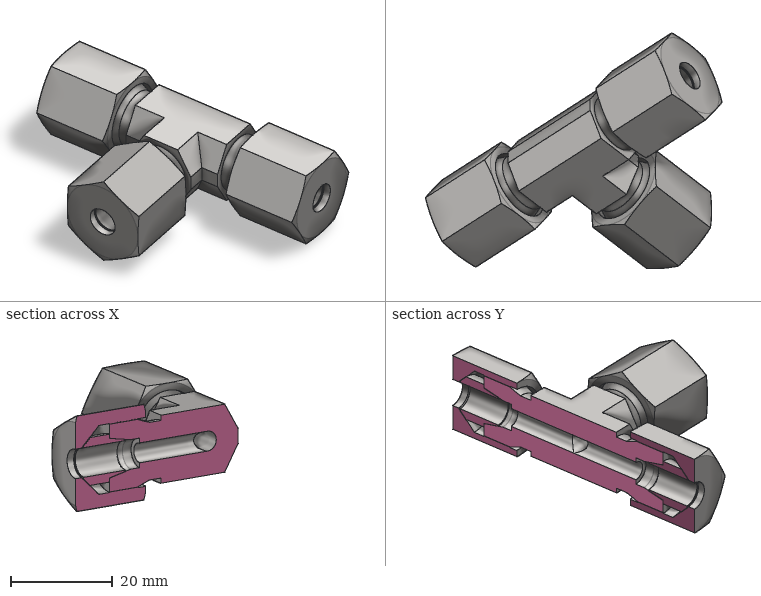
import cadquery as cq
import math


port_reach = 31.0
run_angles = (0, 180)
branch_angle = -90

block_reach = 11.0
block_flats = 14.0
block_half_width = 7.2
neck_radius = 5.95
neck_length = 2.6
spigot_radius = 7.0
spigot_reach = 23.0
spigot_chamfer_angle = 20
flow_radius = 2.0
tube_radius = 3.0
socket_floor = 16.0
seat_mouth_radius = 4.0
seat_half_angle = 12

nut_length = 16.5
nut_flats = 17.0
nut_chamfer_angle = 15
nut_hole_radius = tube_radius
nut_hole_length = 1.55

ring_collar_radius = 4.95
ring_setback = 0.4
ring_nose_length = 3.7

neck_end = block_reach + neck_length
spigot_chamfer_end = neck_end + (spigot_radius - neck_radius) / math.tan(math.radians(spigot_chamfer_angle))
seat_slope = math.tan(math.radians(seat_half_angle))
seat_end = spigot_reach - (seat_mouth_radius - tube_radius) / seat_slope
nut_start = port_reach - nut_length
nut_cone_end = port_reach - nut_hole_length
nut_cone_start = nut_cone_end - (spigot_radius - nut_hole_radius)
ring_end = nut_cone_end - ring_setback
ring_end_radius = nut_hole_radius + ring_setback
ring_cone_start = ring_end - (ring_collar_radius - ring_end_radius)
ring_nose = spigot_reach - ring_nose_length
ring_nose_radius = seat_mouth_radius - ring_nose_length * seat_slope


def revolve_about_x(points):
    """Revolve a closed (distance along X, radius) outline about the X axis."""
    outline = cq.Workplane("XY").polyline(points).close()
    return outline.revolve(360, (0, 0, 0), (1, 0, 0))


def hexagon_bar(flats, start, length):
    """Hexagonal bar along X with corners towards +Y and -Y."""
    corner_diameter = flats / math.cos(math.pi / 6)
    return cq.Workplane("YZ", origin=(start, 0, 0)).polygon(6, corner_diameter).extrude(length)


def turn_to_port(part, angle):
    return part.rotate((0, 0, 0), (0, 0, 1), angle)


def make_block_bar(start, length):
    """Hexagonal bar of the tee with its two side corners cut off flat."""
    bar = hexagon_bar(block_flats, start, length)
    side_limit = cq.Workplane("XY").box(4 * block_reach, 2 * block_half_width, 2 * block_flats)
    return bar.intersect(side_limit)


def make_spigot():
    """Neck and spigot, running from the tee centre to the end of the port."""
    return revolve_about_x([
        (0, 0),
        (0, neck_radius),
        (neck_end, neck_radius),
        (spigot_chamfer_end, spigot_radius),
        (spigot_reach, spigot_radius),
        (spigot_reach, 0),
    ])


def make_port_bore():
    """Flow passage, tube socket and conical seat."""
    return revolve_about_x([
        (0, 0),
        (0, flow_radius),
        (socket_floor, flow_radius),
        (socket_floor, tube_radius),
        (seat_end, tube_radius),
        (spigot_reach, seat_mouth_radius),
        (spigot_reach, 0),
    ])


def make_tee():
    run_bar = make_block_bar(-block_reach, 2 * block_reach)
    branch_bar = turn_to_port(make_block_bar(0, block_reach), branch_angle)
    tee = run_bar.union(branch_bar)
    for angle in (*run_angles, branch_angle):
        tee = tee.union(turn_to_port(make_spigot(), angle))
    for angle in (*run_angles, branch_angle):
        tee = tee.cut(turn_to_port(make_port_bore(), angle))
    return tee


def make_nut(roll):
    """Union nut, rolled about its own axis; both ends are chamfered down to the flats."""
    hexagon = hexagon_bar(nut_flats, nut_start, nut_length)
    flat_radius = nut_flats / 2
    envelope_radius = nut_flats
    chamfer_run = (envelope_radius - flat_radius) * math.tan(math.radians(nut_chamfer_angle))
    chamfer_envelope = revolve_about_x([
        (nut_start, 0),
        (nut_start, flat_radius),
        (nut_start + chamfer_run, envelope_radius),
        (port_reach - chamfer_run, envelope_radius),
        (port_reach, flat_radius),
        (port_reach, 0),
    ])
    cavity = revolve_about_x([
        (nut_start, 0),
        (nut_start, spigot_radius),
        (nut_cone_start, spigot_radius),
        (nut_cone_end, nut_hole_radius),
        (port_reach, nut_hole_radius),
        (port_reach, 0),
    ])
    nut = hexagon.intersect(chamfer_envelope).cut(cavity)
    return nut.rotate((0, 0, 0), (1, 0, 0), roll)


def make_cutting_ring():
    """Ring between the spigot's seat and the cone inside the nut."""
    return revolve_about_x([
        (ring_nose, tube_radius),
        (ring_nose, ring_nose_radius),
        (spigot_reach, seat_mouth_radius),
        (spigot_reach, ring_collar_radius),
        (ring_cone_start, ring_collar_radius),
        (ring_end, ring_end_radius),
        (ring_end, tube_radius),
    ])


tee = make_tee()

nut_placements = [(angle, 0) for angle in run_angles] + [(branch_angle, 90)]
nuts = []
cutting_rings = []
for angle, roll in nut_placements:
    nuts.append(turn_to_port(make_nut(roll), angle).solids().val())
    cutting_rings.append(turn_to_port(make_cutting_ring(), angle).solids().val())

result = cq.Compound.makeCompound([tee.solids().val(), *nuts, *cutting_rings])